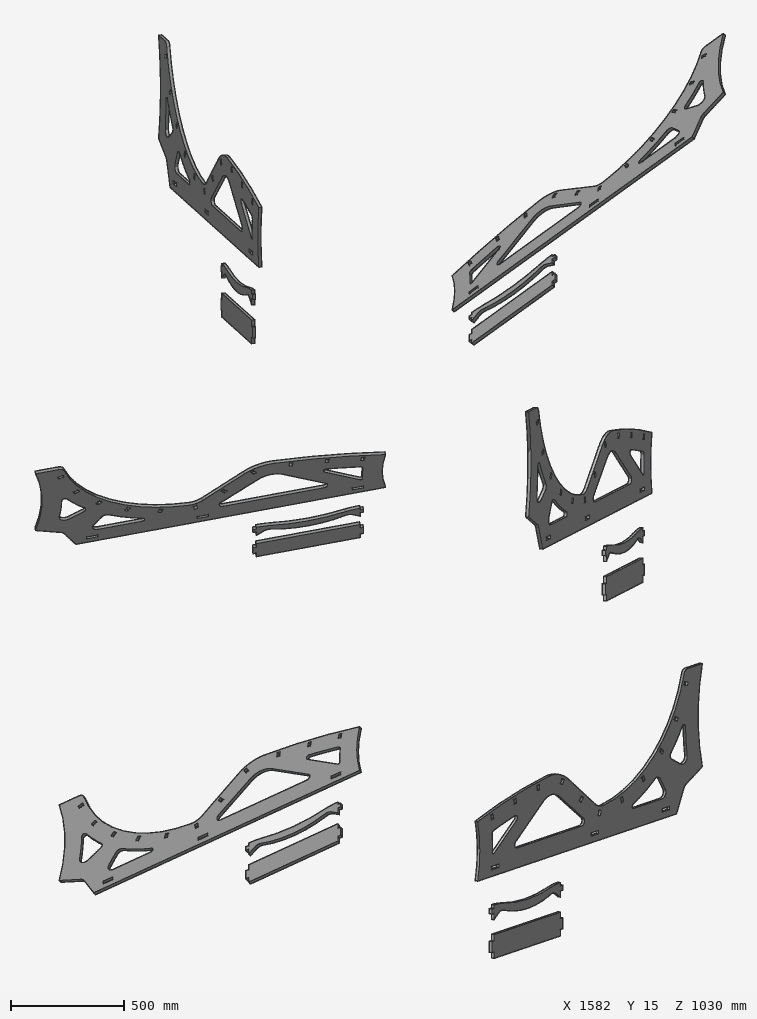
import cadquery as cq
import math

sheet = 15.0
border = 92.0

length = 1582.0
height = 650.0
heel_z = 177.0
neck = (125.0, 117.0)
foot_x = 182.0
nose_z = 274.0
rear_radius = 954.0
front_radius = 626.0
neck_round = 30.0
top_round = 27.0

back_center = (756.0, 799.0)
back_radius = 648.0
valley_angle = -92.4
valley_round = 80.0
crest = (1003.0, 378.0)
seat_center = (775.0, -2507.0)
seat_radius = 2896.0
crest_round = 185.0

along_back = -(back_radius + border)
along_rear = -(rear_radius + border)
along_seat = seat_radius - border
along_front = -(front_radius + border)

rear_window = [
    ((119.0, 432.0), 13.0, along_back),
    ((237.0, 272.0), 19.0, None),
    ((96.0, 190.0), 30.0, along_rear),
]
lumbar_window = [
    ((312.0, 210.0), 27.0, along_back),
    ((549.0, border), 11.0, None),
    ((237.0, border), 25.0, None),
]
middle_window = [
    ((1061.0, 307.0), crest_round - border, None),
    ((1355.0, border), 17.0, None),
    ((795.0, border), 19.0, None),
]
front_window = [
    ((1262.0, 253.0), 13.0, along_seat),
    ((1480.0, 205.0), 17.0, along_front),
    ((1477.0, 95.0), 6.0, None),
]

slot_depth = 28.0
batten_slot_length = 24.0
back_slot_count = 5
back_slot_first = -161.4
back_slot_step = 13.75
valley_round_center = (704.0, 231.0)
valley_slot_angle = -80.0
ramp_slot_distance = 220.0
crest_round_center = (1065.0, 191.0)
crest_slot_angle = 120.5
seat_slot_count = 3
seat_slot_first = 82.4
seat_slot_step = -3.3
tie_slot_length = 50.0
tie_slot_xs = (256.0, 756.0, 1457.0)
tie_slot_z = 38.0

total_height = 1030.0
member_center_x = 1232.0
member_length = 500.0
body_length = member_length - 2 * sheet
plank_height = 109.0
plank_bottom = height - total_height
batten_top = -135.0
batten_tab_top = batten_top - sheet
batten_horn = 68.0
upper_sag = 25.0
upper_bend_x = 168.0
upper_bend_drop = 6.0
lower_crest_x = 185.0
lower_crest_rise = 36.0
lower_crest_round = 36.0


def polar(center, radius, degrees):
    angle = math.radians(degrees)
    return (center[0] + radius * math.cos(angle), center[1] + radius * math.sin(angle))


def plane():
    """XZ work plane on the back face; extrusions run toward the front face at Y = 0."""
    return cq.Workplane("XZ", origin=(0, sheet, 0))


def round_corner(body, corner, radius):
    """Fillet the edge that runs through the sheet at the given (x, z) corner."""
    target = (corner[0], sheet / 2, corner[1])
    return body.edges(cq.selectors.NearestToPointSelector(target)).fillet(radius)


def valley_corner():
    return polar(back_center, back_radius, valley_angle)


def side_panel_blank():
    back_drop = back_center[1] - height
    top_corner = (back_center[0] - math.sqrt(back_radius**2 - back_drop**2), height)
    valley = valley_corner()
    blank = (
        plane()
        .moveTo(0, height)
        .lineTo(*top_corner)
        .radiusArc(valley, -back_radius)
        .lineTo(*crest)
        .radiusArc((length, nose_z), seat_radius)
        .radiusArc((length, 0), -front_radius)
        .lineTo(foot_x, 0)
        .lineTo(*neck)
        .lineTo(0, heel_z)
        .radiusArc((0, height), -rear_radius)
        .close()
        .extrude(sheet)
    )
    blank = round_corner(blank, top_corner, top_round)
    blank = round_corner(blank, valley, valley_round)
    blank = round_corner(blank, crest, crest_round)
    return round_corner(blank, neck, neck_round)


def window(sides):
    """Cutter for one window, given its list of sides."""
    corners = [corner for corner, _, _ in sides]
    outline = plane().moveTo(*corners[0])
    for (_, _, bend), end in zip(sides, corners[1:] + corners[:1]):
        outline = outline.lineTo(*end) if bend is None else outline.radiusArc(end, bend)
    cutter = outline.close().extrude(sheet)
    for corner, rounding, _ in sides:
        cutter = round_corner(cutter, corner, rounding)
    return cutter


def side_panel_windows():
    return [window(sides) for sides in (rear_window, lumbar_window, middle_window, front_window)]


def slot(center, slot_length, tilt):
    """Rectangular cutter as wide as the sheet, its long side tilted from the X axis in degrees."""
    return (
        plane()
        .center(*center)
        .transformed(rotate=(0, 0, tilt))
        .rect(slot_length, sheet)
        .extrude(sheet)
    )


def side_panel_slots():
    """Batten slots square to the upper edge, and level tie slots along the bottom."""
    placed = []
    for i in range(back_slot_count):
        angle = back_slot_first + i * back_slot_step
        placed.append((polar(back_center, back_radius + slot_depth, angle), angle))

    valley_slot = polar(valley_round_center, valley_round + slot_depth, valley_slot_angle)
    placed.append((valley_slot, valley_slot_angle))

    valley = valley_corner()
    slope_angle = math.degrees(math.atan2(crest[1] - valley[1], crest[0] - valley[0]))
    on_ramp = polar(crest, -ramp_slot_distance, slope_angle)
    placed.append((polar(on_ramp, slot_depth, slope_angle - 90), slope_angle - 90))

    crest_slot = polar(crest_round_center, crest_round - slot_depth, crest_slot_angle)
    placed.append((crest_slot, crest_slot_angle))

    for i in range(seat_slot_count):
        angle = seat_slot_first + i * seat_slot_step
        placed.append((polar(seat_center, seat_radius - slot_depth, angle), angle))

    slots = [slot(center, batten_slot_length, angle) for center, angle in placed]
    for x in tie_slot_xs:
        slots.append(slot((x, tie_slot_z), tie_slot_length, 0))
    return slots


def make_side_panel():
    panel = side_panel_blank()
    for cutter in side_panel_windows() + side_panel_slots():
        panel = panel.cut(cutter)
    return panel


def add_tabs(body, center_z, tab_height):
    """Add a tab, one sheet thickness long, to each end of a cross member."""
    for side in (-1, 1):
        center_x = member_center_x + side * (body_length + sheet) / 2
        tab = plane().center(center_x, center_z).rect(sheet, tab_height).extrude(sheet)
        body = body.union(tab)
    return body


def make_plank():
    center_z = plank_bottom + plank_height / 2
    body = plane().center(member_center_x, center_z).rect(body_length, plank_height).extrude(sheet)
    return add_tabs(body, center_z, tie_slot_length)


def make_batten():
    half = body_length / 2
    bottom = -batten_horn
    upper_end_radius = ((half - upper_bend_x) ** 2 + upper_bend_drop**2) / (2 * upper_bend_drop)
    body = (
        plane()
        .center(member_center_x, batten_top)
        .moveTo(-half, 0)
        .radiusArc((-upper_bend_x, -upper_bend_drop), upper_end_radius)
        .threePointArc((0, -upper_sag), (upper_bend_x, -upper_bend_drop))
        .radiusArc((half, 0), upper_end_radius)
        .lineTo(half, bottom)
        .lineTo(lower_crest_x, bottom + lower_crest_rise)
        .threePointArc((0, bottom), (-lower_crest_x, bottom + lower_crest_rise))
        .lineTo(-half, bottom)
        .close()
        .extrude(sheet)
    )
    for side in (-1, 1):
        peak = (member_center_x + side * lower_crest_x, batten_top + bottom + lower_crest_rise)
        body = round_corner(body, peak, lower_crest_round)
    return add_tabs(body, batten_tab_top - batten_slot_length / 2, batten_slot_length)


side_panel = make_side_panel()
batten = make_batten()
plank = make_plank()
result = cq.Compound.makeCompound([side_panel.val(), batten.val(), plank.val()])